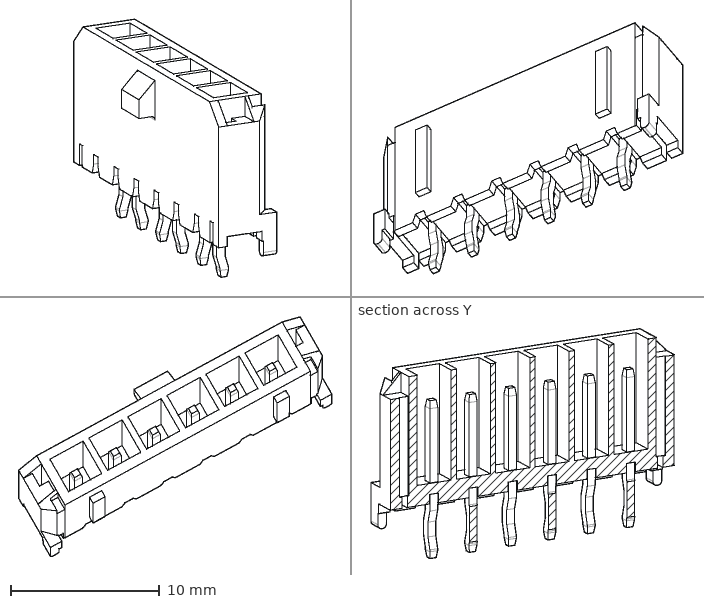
import cadquery as cq

LENGTH = 21.65
DEPTH = 3.9
HEIGHT = 9.9
WALL = 0.65
BACK_REACH = 4.37

PIN_COUNT = 6
ROW_SPAN = 15.0
PITCH = ROW_SPAN / (PIN_COUNT - 1)
CELL_SIZE = 2.55
CELL_FLOOR = 2.16
ROW_Y = DEPTH / 2

CHANNEL_BACK = 3.27
CHANNEL_HEIGHT = 0.7

WING_LENGTH = 1.39
WING_DROP = 1.4
WING_BACK = 3.88
WING_SIDE_DEPTH = 3.07
WING_POCKET_BACK = 2.66
WING_NOTCH_FRONT = 2.92
RETAINER_HOLE_LENGTH = 0.7
RETAINER_HOLE_BACK = 1.65
BLOCK_LENGTH = 0.89
BLOCK_HEIGHT = 1.9
SLOT_WIDTH = 0.4
SLOT_HEIGHT = 1.52
PEG_WIDTH = 0.67
PEG_FRONT = 3.38
PEG_END_RADIUS = 0.32
PEG_DROP = 1.13

LATCH_WIDTH = 2.6
LATCH_REACH = 1.2
LATCH_TOP_GAP = 0.78
LATCH_HEIGHT = 2.51
LATCH_FILLET = 0.25

RIB_WIDTH = 0.93
RIB_X = 7.08
RIB_BOTTOM = 2.2
RIB_TOP = 8.2

NOTCH_WIDTH = 0.65
NOTCH_HEIGHT = 1.36
NOTCH_MOUTH = 1.08

PIN_WIDTH = 0.6
PIN_THICK = 0.65
PIN_TOP = 7.9
PIN_BOTTOM = -3.18
PIN_TIP = 0.52
TIP_INSET_X = 0.06
TIP_INSET_Y = 0.1
KINK_OFFSET = 0.25
KINK_START = 0.2
KINK_OUT = -0.65
KINK_BACK = -1.69
KINK_END = -2.53

BODY_HALF = LENGTH / 2 - WING_LENGTH
PIN_XS = [(i - (PIN_COUNT - 1) / 2) * PITCH for i in range(PIN_COUNT)]


def box(x0, x1, y0, y1, z0, z1):
    """Box between two opposite corners."""
    return cq.Workplane("XY").box(x1 - x0, y1 - y0, z1 - z0, centered=False).translate((x0, y0, z0))


def mirrored(solid):
    """The solid together with its copy at the other end of the row."""
    return solid.union(solid.mirror("YZ"))


def extrude_y(points, y0, y1):
    """Prism along Y with an X-Z outline."""
    return cq.Workplane("XZ", origin=(0, y0, 0)).polyline(points).close().extrude(y0 - y1)


def left_wing():
    """Wing with a sloped top, an open pocket, a notch at the back and a locating peg."""
    end = -LENGTH / 2
    shoulder = HEIGHT - WING_DROP
    back_bevel = WING_BACK - WING_SIDE_DEPTH
    plan = [
        (end, 0),
        (-BODY_HALF, 0),
        (-BODY_HALF, WING_BACK),
        (end + back_bevel, WING_BACK),
        (end, WING_SIDE_DEPTH),
    ]
    wing = cq.Workplane("XY").polyline(plan).close().extrude(HEIGHT)
    wing = wing.cut(extrude_y([(end, shoulder), (end, HEIGHT), (-BODY_HALF, HEIGHT)], 0, WING_BACK))
    wing = wing.cut(box(end, -BODY_HALF, WALL, WING_POCKET_BACK, shoulder, HEIGHT))
    wing = wing.cut(box(end + back_bevel, -BODY_HALF, WING_NOTCH_FRONT, WING_BACK, shoulder, HEIGHT))
    hole_start = -BODY_HALF - RETAINER_HOLE_LENGTH
    wing = wing.cut(box(hole_start, -BODY_HALF, WALL, RETAINER_HOLE_BACK, SLOT_HEIGHT, shoulder))

    block = box(end, end + BLOCK_LENGTH, WING_POCKET_BACK, BACK_REACH, 0, BLOCK_HEIGHT)
    peg = box(end, end + PEG_WIDTH, PEG_FRONT, BACK_REACH, -PEG_DROP, BLOCK_HEIGHT)
    peg = peg.edges("|Y and <Z").fillet(PEG_END_RADIUS)
    return wing.union(block).union(peg)


def latch():
    """Ramped latch, blended into the front face underneath."""
    top = HEIGHT - LATCH_TOP_GAP
    bottom = top - LATCH_HEIGHT
    return (
        cq.Workplane("YZ", origin=(-LATCH_WIDTH / 2, 0, 0))
        .moveTo(WALL, top)
        .lineTo(0, top)
        .lineTo(-LATCH_REACH, top - LATCH_REACH)
        .lineTo(-LATCH_REACH, bottom)
        .lineTo(-LATCH_FILLET, bottom)
        .radiusArc((0, bottom - LATCH_FILLET), LATCH_FILLET)
        .lineTo(WALL, bottom - LATCH_FILLET)
        .close()
        .extrude(LATCH_WIDTH)
    )


def pin_notch(x):
    """Slot from the front face to the back wall, flaring out to a wide mouth through both walls."""
    half = NOTCH_WIDTH / 2
    mouth = NOTCH_MOUTH / 2
    flare = [
        (x - mouth, 0),
        (x - half, CHANNEL_HEIGHT),
        (x + half, CHANNEL_HEIGHT),
        (x + mouth, 0),
    ]
    slot = box(x - half, x + half, 0, CHANNEL_BACK, 0, NOTCH_HEIGHT)
    return slot.union(extrude_y(flare, 0, DEPTH))


def pin_tip(x, z, length):
    """Tapered pin end; a negative length points down."""
    return (
        cq.Workplane("XY", origin=(x, ROW_Y, z))
        .rect(PIN_WIDTH, PIN_THICK)
        .workplane(offset=length)
        .rect(PIN_WIDTH - 2 * TIP_INSET_X, PIN_THICK - 2 * TIP_INSET_Y)
        .loft(ruled=True)
    )


def pin(x, kink):
    """Pin whose lower leg steps sideways in Y by kink and returns."""
    shank_top = PIN_TOP - PIN_TIP
    shank_bottom = PIN_BOTTOM + PIN_TIP
    path = [
        (ROW_Y, shank_top),
        (ROW_Y, KINK_START),
        (ROW_Y + kink, KINK_OUT),
        (ROW_Y + kink, KINK_BACK),
        (ROW_Y, KINK_END),
        (ROW_Y, shank_bottom),
    ]
    half = PIN_THICK / 2
    outline = [(y - half, z) for y, z in path] + [(y + half, z) for y, z in reversed(path)]
    shank = cq.Workplane("YZ", origin=(x - PIN_WIDTH / 2, 0, 0)).polyline(outline).close().extrude(PIN_WIDTH)
    top_tip = pin_tip(x, shank_top, PIN_TIP)
    bottom_tip = pin_tip(x, shank_bottom, -PIN_TIP)
    return shank.union(top_tip).union(bottom_tip)


housing = box(-BODY_HALF, BODY_HALF, 0, DEPTH, 0, HEIGHT)
housing = housing.union(mirrored(left_wing()))
housing = housing.union(latch())
rib_start = -RIB_X - RIB_WIDTH / 2
left_rib = box(rib_start, rib_start + RIB_WIDTH, CHANNEL_BACK, BACK_REACH, RIB_BOTTOM, RIB_TOP)
housing = housing.union(mirrored(left_rib))

housing = housing.cut(box(-LENGTH / 2, LENGTH / 2, WALL, CHANNEL_BACK, 0, CHANNEL_HEIGHT))
slot_start = BLOCK_LENGTH - LENGTH / 2
end_slot = box(slot_start, slot_start + SLOT_WIDTH, 0, BACK_REACH, 0, SLOT_HEIGHT)
housing = housing.cut(mirrored(end_slot))

half_cell = CELL_SIZE / 2
for x in PIN_XS:
    cell = box(x - half_cell, x + half_cell, WALL, WALL + CELL_SIZE, CELL_FLOOR, HEIGHT)
    housing = housing.cut(cell).cut(pin_notch(x))

result = housing
for i, x in enumerate(PIN_XS):
    kink = KINK_OFFSET if i % 2 == 0 else -KINK_OFFSET
    result = result.union(pin(x, kink))